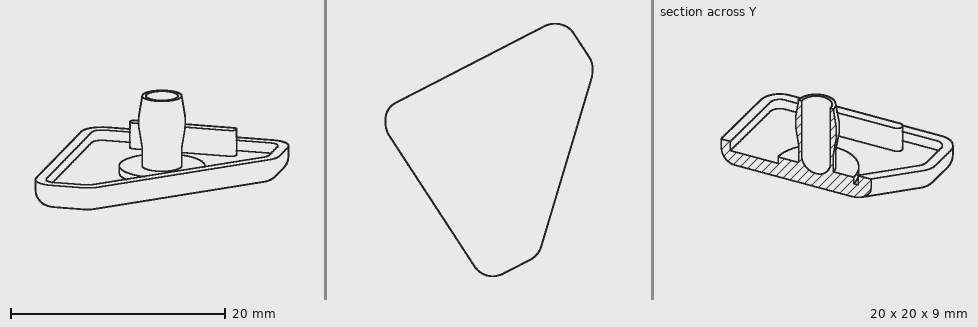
import cadquery as cq
import math

plate_size = 20.0
plate_height = 2.5
corner_radius = 2.0
bottom_fillet = 1.5
short_side = 3.0

rim_width = 1.0
pocket_depth = 1.0
floor_z = plate_height - pocket_depth

pad_diameter = 8.0
pad_height = 0.7

neck_diameter = 3.7
barrel_diameter = 4.35
bore_diameter = 3.0
neck_top_z = 4.0
barrel_bottom_z = 6.0
barrel_top_z = 7.0
pin_top_z = 9.0

rib_length = 10.3
rib_width = 1.0
rib_top_z = 4.0
rib_y = 7.5


def rounded_outline(radius, bottom_z):
    """Closed outline lying `radius` outside the corner centres, with corners of that radius."""
    reach = plate_size / 2 - corner_radius
    corner_centres = [
        (-reach, -reach),
        (-reach + short_side, -reach),
        (reach, reach - short_side),
        (reach, reach),
        (-reach, reach),
    ]
    return cq.Workplane("XY").workplane(offset=bottom_z).polyline(corner_centres).close().offset2D(radius)


def make_tray():
    plate = rounded_outline(corner_radius, 0).extrude(plate_height)
    plate = plate.faces("<Z").edges().fillet(bottom_fillet)
    pocket = rounded_outline(corner_radius - rim_width, floor_z).extrude(pocket_depth)
    return plate.cut(pocket)


def make_pad():
    """Disc on the pocket floor, trimmed where it meets the diagonal wall."""
    disc = cq.Workplane("XY").workplane(offset=floor_z).circle(pad_diameter / 2).extrude(pad_height)
    pocket_space = rounded_outline(corner_radius - rim_width, floor_z).extrude(pocket_depth)
    return disc.intersect(pocket_space)


def make_pin():
    neck_radius = neck_diameter / 2
    barrel_radius = barrel_diameter / 2
    profile = (
        cq.Workplane("XZ")
        .moveTo(0, floor_z)
        .lineTo(neck_radius, floor_z)
        .lineTo(neck_radius, neck_top_z)
        .lineTo(barrel_radius, barrel_bottom_z)
        .lineTo(barrel_radius, barrel_top_z)
        .lineTo(neck_radius, pin_top_z)
        .lineTo(0, pin_top_z)
        .close()
    )
    return profile.revolve(360, (0, 0, 0), (0, 1, 0))


def make_bore():
    """Blind bore with a hemispherical end that reaches down to the pocket floor."""
    bore_radius = bore_diameter / 2
    dome_z = floor_z + bore_radius
    dome_mid = bore_radius * math.sqrt(0.5)
    profile = (
        cq.Workplane("XZ")
        .moveTo(0, floor_z)
        .threePointArc((dome_mid, dome_z - dome_mid), (bore_radius, dome_z))
        .lineTo(bore_radius, pin_top_z)
        .lineTo(0, pin_top_z)
        .close()
    )
    return profile.revolve(360, (0, 0, 0), (0, 1, 0))


def make_rib():
    return (
        cq.Workplane("XY")
        .workplane(offset=floor_z)
        .center(0, rib_y)
        .slot2D(rib_length, rib_width)
        .extrude(rib_top_z - floor_z)
    )


result = make_tray().union(make_pad()).union(make_pin()).union(make_rib()).cut(make_bore())